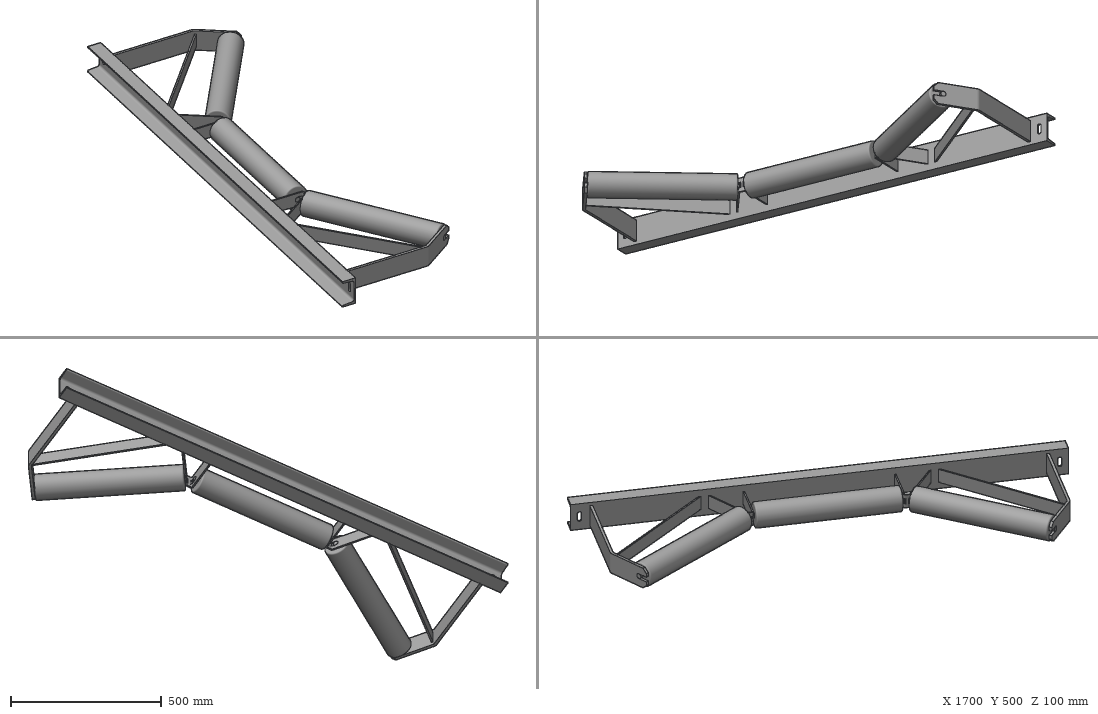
import cadquery as cq
import math

BEAM_LENGTH = 1700.0
BEAM_HEIGHT = 100.0
FLANGE_WIDTH = 50.0
WEB_THICKNESS = 6.0
FLANGE_THICKNESS = 8.5
FLANGE_TAPER = 0.08
ROOT_RADIUS = 8.5
TOE_RADIUS = 4.5
BEAM_SLOT_LENGTH = 36.0
BEAM_SLOT_WIDTH = 14.0
BEAM_SLOT_END_DISTANCE = 30.0
WEB_FACE_Y = FLANGE_WIDTH

DRUM_DIAMETER = 89.0
DRUM_LENGTH = 500.0
DRUM_ROUNDING = 5.0
SHAFT_DIAMETER = 18.0
TROUGH_ANGLE = 35.0
MIDDLE_ROLLER_Y = 167.0
SIDE_ROLLER_X = 497.0
SIDE_ROLLER_Y = 322.0
SIDE_GAP = 2.0

OUTER_WIDTH = 76.0
OUTER_THICKNESS = 10.0
OUTER_BEND_RADIUS = 10.0
OUTER_LEG_X = 780.0
OUTER_TOP_Y = 500.03
OUTER_TIP_CHAMFER = 15.0

INNER_WIDTH = 50.0
INNER_THICKNESS = 5.0
INNER_BEND_RADIUS = 2.0
INNER_LEG_X = 258.5
INNER_TOP_Y = 190.0

BRACE_THICKNESS = 6.0
BRACE_WIDTH = 50.0
BRACE_FOOT_X = 410.0
BRACE_HEAD_RISE = 8.0

angle = math.radians(TROUGH_ANGLE)
half_drum = DRUM_LENGTH / 2


def from_side_roller(along, up):
    """Point in XY: `along` the +X side roller's axis from its centre, and `up` square to the axis."""
    return (
        SIDE_ROLLER_X + along * math.cos(angle) - up * math.sin(angle),
        SIDE_ROLLER_Y + along * math.sin(angle) + up * math.cos(angle),
    )


outer_plane = half_drum + SIDE_GAP + OUTER_THICKNESS / 2
inner_plane = -(half_drum + SIDE_GAP + INNER_THICKNESS / 2)

outer_bend_up = (SIDE_ROLLER_X + outer_plane * math.cos(angle) - OUTER_LEG_X) / math.sin(angle)
outer_bend = from_side_roller(outer_plane, outer_bend_up)


def place_on_side_roller(body):
    """Turn a body made along X, about the origin, onto the +X side roller's axis."""
    return body.rotate((0, 0, 0), (0, 0, 1), TROUGH_ANGLE).translate((SIDE_ROLLER_X, SIDE_ROLLER_Y, 0))


def on_side(body, side):
    """A body made for the +X side, mirrored when the other side is wanted."""
    return body if side > 0 else body.mirror("YZ")


def offset_path(points, distance):
    """The points of a bent line, moved sideways to the left by the distance, with mitred corners."""
    headings = [math.atan2(b[1] - a[1], b[0] - a[0]) for a, b in zip(points, points[1:])]
    moved = []
    for point, before, after in zip(points, headings[:1] + headings, headings + headings[-1:]):
        half_turn = (after - before) / 2
        reach = distance / math.cos(half_turn)
        across = before + half_turn + math.pi / 2
        moved.append((point[0] + reach * math.cos(across), point[1] + reach * math.sin(across)))
    return moved


def flat_bar(points, thickness, width, inside_radius=0):
    """Flat bar along a mid-line in XY, any bends turning left, cut off level with the beam's web face."""
    inside = offset_path(points, thickness / 2)
    outside = offset_path(points, -thickness / 2)
    bar = cq.Workplane("XY").polyline(inside + outside[::-1]).close().extrude(width / 2, both=True)
    for corners, radius in ((inside, inside_radius), (outside, inside_radius + thickness)):
        for x, y in corners[1:-1]:
            near = cq.selectors.NearestToPointSelector((x, y, 0))
            bar = bar.edges("|Z").edges(near).fillet(radius)
    below = cq.Workplane("XY").box(2 * BEAM_LENGTH, 2 * WEB_FACE_Y, 2 * BEAM_HEIGHT)
    return bar.cut(below)


def shaft_along_x(length):
    """Round shaft, starting at the origin and running along +X."""
    return cq.Workplane("YZ").circle(SHAFT_DIAMETER / 2).extrude(length)


def shaft_slot(length):
    """Cutter for a round-bottomed slot that holds the shaft and is open upward (+Y)."""
    opening = cq.Workplane("XY").box(length, DRUM_DIAMETER, SHAFT_DIAMETER, centered=(False, False, True))
    return shaft_along_x(length).union(opening)


def make_beam():
    half_height = BEAM_HEIGHT / 2
    toe_z = half_height - FLANGE_THICKNESS + FLANGE_TAPER * FLANGE_WIDTH / 2
    root_z = toe_z - FLANGE_TAPER * (FLANGE_WIDTH - WEB_THICKNESS)
    web_y = WEB_FACE_Y - WEB_THICKNESS
    outline = [
        (WEB_FACE_Y, half_height), (0, half_height), (0, toe_z), (web_y, root_z),
        (web_y, -root_z), (0, -toe_z), (0, -half_height), (WEB_FACE_Y, -half_height),
    ]
    beam = cq.Workplane("YZ").polyline(outline).close().extrude(BEAM_LENGTH / 2, both=True)
    for side in (1, -1):
        for y, z, radius in ((web_y, root_z, ROOT_RADIUS), (0, toe_z, TOE_RADIUS)):
            corner = cq.selectors.NearestToPointSelector((0, y, side * z))
            beam = beam.edges("|X").edges(corner).fillet(radius)
    slot_x = BEAM_LENGTH / 2 - BEAM_SLOT_END_DISTANCE
    slots = (
        cq.Workplane("XZ").pushPoints([(-slot_x, 0), (slot_x, 0)])
        .slot2D(BEAM_SLOT_LENGTH, BEAM_SLOT_WIDTH, 90).extrude(-2 * FLANGE_WIDTH)
    )
    return beam.cut(slots)


def make_roller(lower_shaft, upper_shaft):
    """Roller along X about the origin; the shaft lengths are how far it stands out at -X and +X."""
    drum = cq.Workplane("YZ", origin=(-half_drum, 0, 0)).circle(DRUM_DIAMETER / 2).extrude(DRUM_LENGTH)
    drum = drum.edges("%CIRCLE").fillet(DRUM_ROUNDING)
    upper = shaft_along_x(half_drum + upper_shaft)
    lower = shaft_along_x(half_drum + lower_shaft).mirror("YZ")
    return drum.union(upper).union(lower)


def make_outer_bracket():
    outer_face = outer_plane + OUTER_THICKNESS / 2
    tip_up = (OUTER_TOP_Y - SIDE_ROLLER_Y - outer_face * math.sin(angle)) / math.cos(angle)
    tip = from_side_roller(outer_plane, tip_up)
    bracket = flat_bar([(OUTER_LEG_X, 0), outer_bend, tip], OUTER_THICKNESS, OUTER_WIDTH, OUTER_BEND_RADIUS)
    far_end = cq.selectors.DirectionMinMaxSelector(cq.Vector(-math.sin(angle), math.cos(angle), 0))
    corners = cq.selectors.ParallelDirSelector(cq.Vector(math.cos(angle), math.sin(angle), 0))
    bracket = bracket.faces(far_end).edges(corners).chamfer(OUTER_TIP_CHAMFER)
    slot = shaft_slot(outer_plane + OUTER_THICKNESS)
    return bracket.cut(place_on_side_roller(slot))


def make_inner_bracket():
    top_y = INNER_TOP_Y - INNER_THICKNESS / 2
    foot_up = -(SIDE_ROLLER_Y + inner_plane * math.sin(angle)) / math.cos(angle)
    knee_up = foot_up + top_y / math.cos(angle)
    points = [
        from_side_roller(inner_plane, foot_up), from_side_roller(inner_plane, knee_up),
        (INNER_LEG_X, top_y), (INNER_LEG_X, 0),
    ]
    bracket = flat_bar(points, INNER_THICKNESS, INNER_WIDTH, INNER_BEND_RADIUS)
    middle_slot = shaft_slot(INNER_LEG_X + INNER_THICKNESS)
    side_slot = shaft_slot(INNER_THICKNESS - inner_plane).mirror("YZ")
    bracket = bracket.cut(middle_slot.translate((0, MIDDLE_ROLLER_Y, 0)))
    return bracket.cut(place_on_side_roller(side_slot))


def make_brace(outer_bracket):
    """Straight bar whose head is trimmed to fit against the outer bracket."""
    foot = (BRACE_FOOT_X, WEB_FACE_Y)
    head = from_side_roller(outer_plane, outer_bend_up + BRACE_HEAD_RISE)
    rise = (head[1] - foot[1]) / (head[0] - foot[0])
    below_foot = (foot[0] - foot[1] / rise, 0)
    brace = flat_bar([below_foot, head], BRACE_THICKNESS, BRACE_WIDTH)
    return brace.cut(outer_bracket)


beam = make_beam()
bodies = [beam.solids().val()]

middle_shaft = INNER_LEG_X + INNER_THICKNESS / 2 - half_drum
middle_roller = make_roller(middle_shaft, middle_shaft).translate((0, MIDDLE_ROLLER_Y, 0))
bodies.append(middle_roller.solids().val())

side_roller = place_on_side_roller(make_roller(SIDE_GAP + INNER_THICKNESS, SIDE_GAP + OUTER_THICKNESS))
outer_bracket = make_outer_bracket()
inner_bracket = make_inner_bracket()
brace = make_brace(outer_bracket)
for side in (1, -1):
    for body in (side_roller, outer_bracket, inner_bracket, brace):
        bodies.append(on_side(body, side).solids().val())

result = cq.Compound.makeCompound(bodies)